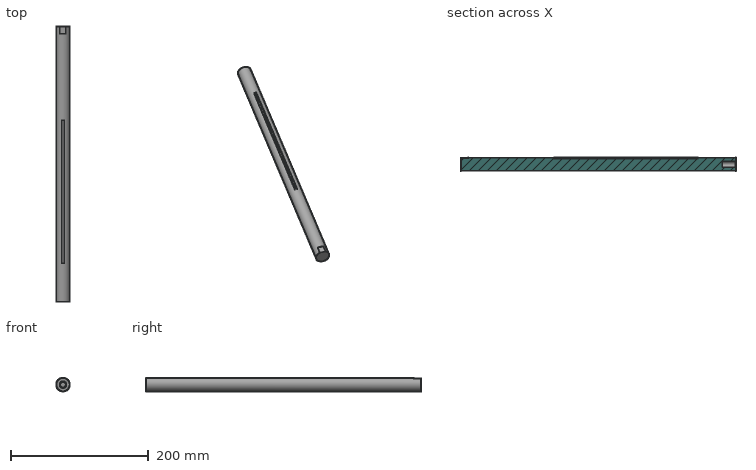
import cadquery as cq

length = 400.0
diameter = 20.0
radius = diameter / 2
front_y = -length / 2
back_y = length / 2

rim_chamfer = 0.5

flat_depth = 1.0
flat_length = 11.0

keyway_width = 3.0
keyway_depth = 2.0
keyway_length = 208.0
keyway_front_y = -144.0

hole_diameter = 8.0
hole_depth = 20.0
mouth_diameter = 10.0
mouth_chamfer = (mouth_diameter - hole_diameter) / 2


def top_cutter(width, depth, start_y, cut_length):
    """Box that cuts down from the top of the shaft."""
    return (
        cq.Workplane("XY")
        .box(width, cut_length, depth, centered=(True, False, False))
        .translate((0, start_y, radius - depth))
    )


def end_hole():
    """Revolved cutter: a straight hole with a conical mouth."""
    return (
        cq.Workplane("XY")
        .moveTo(0, front_y)
        .lineTo(mouth_diameter / 2, front_y)
        .lineTo(hole_diameter / 2, front_y + mouth_chamfer)
        .lineTo(hole_diameter / 2, front_y + hole_depth)
        .lineTo(0, front_y + hole_depth)
        .close()
        .revolve(360, (0, 0, 0), (0, 1, 0))
    )


shaft = cq.Workplane("XZ").circle(radius).extrude(length / 2, both=True)
end_flat = top_cutter(diameter, flat_depth, back_y - flat_length, flat_length)
keyway = top_cutter(keyway_width, keyway_depth, keyway_front_y, keyway_length)

result = shaft.faces("<Y").chamfer(rim_chamfer).cut(end_flat).cut(keyway).cut(end_hole())